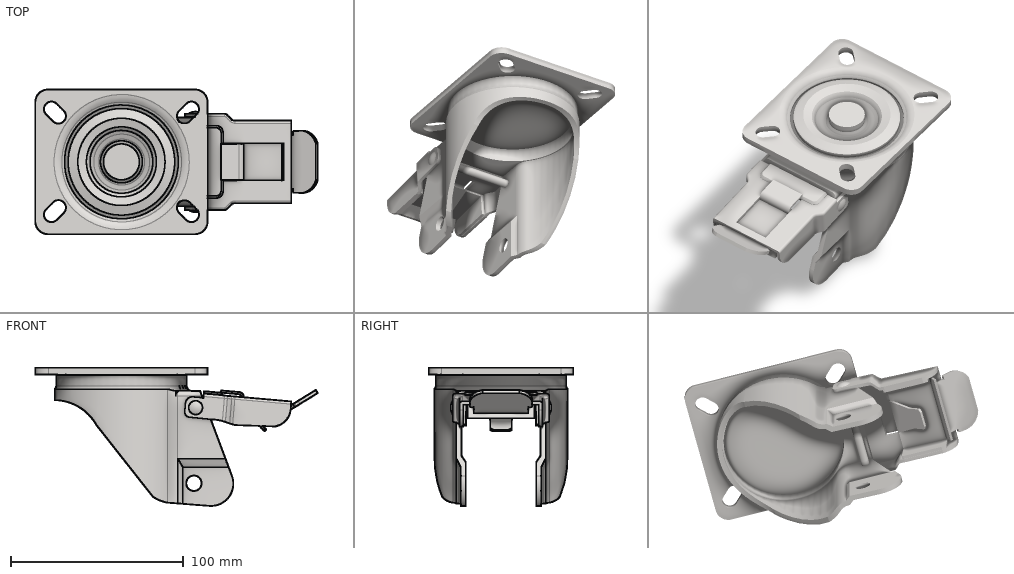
import cadquery as cq
import math


PLATE_LENGTH = 100
PLATE_WIDTH = 84
PLATE_THICKNESS = 4
PLATE_CORNER_RADIUS = 7.5
SLOT_SPACING_X = 77.1
SLOT_SPACING_Y = 57.1
SLOT_WIDTH = 8.6
SLOT_LENGTH = 14.3
SLOT_ANGLE = 45
DISH_OUTER_RADIUS = 39.2
DISH_INNER_RADIUS = 34.7
DISH_DEPTH = 2.2
DISH_ARC_SAG = 0.5
PLATE_BORE_RADIUS = 33
BORE_TOP_DEPTH = 3
SEAT_RADIUS = 37
SEAT_HEIGHT = 0.4

SHEET = 3
SHELL_RADIUS = 38.7
WALL_Y = 25.8
BEND_START_X = 26.65
ROOF_Z = -13.4
ROOF_EDGE_RADIUS = 3
COLLAR_RADIUS = 37.9
COLLAR_TOP_Z = -PLATE_THICKNESS - SEAT_HEIGHT
COLLAR_BASE_Z = -10.6
COLLAR_FLARE_RADIUS = COLLAR_RADIUS + COLLAR_BASE_Z - ROOF_Z
KINGPIN_RADIUS = 10.4
RACE_OUTER_RADIUS = 30.9
RACE_OUTER_Z = -2
RACE_CREST_RADIUS = 25.3
RACE_INNER_RADIUS = 20.3
RACE_INNER_Z = -1.5
BOWL_STEP_RADIUS = 18.2
BOWL_STEP_Z = -4
BOWL_SLOPE_RADIUS = 16.2
BOWL_SLOPE_Z = -4.7
BOWL_FLOOR_RADIUS = 13.3
BOWL_FLOOR_Z = -5.3
KINGPIN_FOOT_RADIUS = 12.2
KINGPIN_FOOT_Z = -4.2
WHEEL_OFFSET = 42
WHEEL_AXLE_Z = -67
WHEEL_AXLE_DIAMETER = 8.8
LOBE_RADIUS = 13
LOBE_X = 51.9
TOTAL_HEIGHT = 80.22
LOBE_Z = LOBE_RADIUS - TOTAL_HEIGHT
FORK_REACH = 75
ROOF_END_X = 45.6
JOGGLE = 2.5
JOGGLE_RUN_X = 2.9
JOGGLE_OUTER_X = 32.7
JOGGLE_OUTER_Z = -52.8
JOGGLE_OUTER_RUN_Z = 4.9
JOGGLE_INNER_X = 31.2
JOGGLE_INNER_Z = -51
JOGGLE_INNER_RUN_Z = 3.9

PIVOT_X = 43
PIVOT_Z = -23.2
LEVER_TILT = 5
PIN_RADIUS = 2.3
RIVET_HEAD_RADIUS = 4
RIVET_HEAD_HEIGHT = 1.2
COVER_SHEET = 2
COVER_EDGE_RADIUS = 1.5
COVER_BEND_RADIUS = 2.5
COVER_TOP = 8.5
COVER_END = 55
COVER_ROOF_START = 4
FRONT_HALF_WIDTH = 28
REAR_HALF_WIDTH = 24
NARROWING_START = 17
NARROWING_END = 21
WINDOW_START = 14.8
WINDOW_END = 50.5
WINDOW_WIDTH = 21.4
PAD_END = 15.2
PAD_HALF_WIDTH = 21
PAD_HEIGHT = 1.5
PAD_CORNER_RADIUS = 4
PAD_EDGE = 1.3
LEAF_SHEET = 1.4
LEAF_WIDTH = 20.8
INNER_PLATE_START = 23
INNER_PLATE_END = 49.5
INNER_PLATE_WIDTH = 2 * (REAR_HALF_WIDTH - COVER_SHEET)
FLANGE_SHEET = 1.8
FLANGE_RECESS = 0.5
PANEL_WIDTH = 38.6
PEDAL_SHEET = 2.2
PEDAL_ANGLE = 31.7
TONGUE_ANGLE = 45
TONGUE_SHEET = 1.5
HALF_SPACE = 100


def revolve_about_z(profile):
    """Solid of revolution about Z from a closed XZ profile."""
    return profile.close().revolve(360, (0, 0, 0), (0, 1, 0))


def tangent_point(x, z, center_x, center_z, radius, side):
    """Where the line from (x, z) touches a circle; side picks one of the two tangents."""
    distance = math.hypot(x - center_x, z - center_z)
    direction = math.atan2(z - center_z, x - center_x) + side * math.acos(radius / distance)
    return center_x + radius * math.cos(direction), center_z + radius * math.sin(direction)


def make_top_plate():
    plate = (
        cq.Workplane("XY")
        .box(PLATE_LENGTH, PLATE_WIDTH, PLATE_THICKNESS, centered=(True, True, False))
        .translate((0, 0, -PLATE_THICKNESS))
        .edges("|Z")
        .fillet(PLATE_CORNER_RADIUS)
    )
    seat = cq.Workplane("XY").workplane(offset=COLLAR_TOP_Z).circle(SEAT_RADIUS).extrude(SEAT_HEIGHT)
    dish_middle = (DISH_OUTER_RADIUS + DISH_INNER_RADIUS) / 2
    dish = revolve_about_z(
        cq.Workplane("XZ")
        .moveTo(0, 0)
        .lineTo(DISH_OUTER_RADIUS, 0)
        .threePointArc((dish_middle, DISH_ARC_SAG - DISH_DEPTH / 2), (DISH_INNER_RADIUS, -DISH_DEPTH))
        .lineTo(PLATE_BORE_RADIUS, -BORE_TOP_DEPTH)
        .lineTo(PLATE_BORE_RADIUS, COLLAR_TOP_Z)
        .lineTo(0, COLLAR_TOP_Z)
    )
    plate = plate.union(seat).cut(dish)
    for side_x in (-1, 1):
        for side_y in (-1, 1):
            slot = (
                cq.Workplane("XY")
                .slot2D(SLOT_LENGTH, SLOT_WIDTH, side_x * side_y * SLOT_ANGLE)
                .extrude(-PLATE_THICKNESS)
                .translate((side_x * SLOT_SPACING_X / 2, side_y * SLOT_SPACING_Y / 2, 0))
            )
            plate = plate.cut(slot)
    return plate


def fork_plan(inset):
    """Closed plan of the fork: round front, concave bends and flat sides, moved inward by inset."""
    bend_angle = math.asin(BEND_START_X / SHELL_RADIUS)
    bend_drop = SHELL_RADIUS * math.cos(bend_angle) - WALL_Y
    bend_radius = bend_drop / (1 - math.cos(bend_angle))
    bend_center_x = (SHELL_RADIUS + bend_radius) * math.sin(bend_angle)
    bend_center_y = WALL_Y + bend_radius
    shell = SHELL_RADIUS - inset
    bend = bend_radius + inset
    start = (shell * math.sin(bend_angle), shell * math.cos(bend_angle))
    middle = (
        bend_center_x - bend * math.sin(bend_angle / 2),
        bend_center_y - bend * math.cos(bend_angle / 2),
    )
    end = (bend_center_x, WALL_Y - inset)
    return (
        cq.Workplane("XY")
        .moveTo(FORK_REACH, end[1])
        .lineTo(*end)
        .threePointArc(middle, start)
        .threePointArc((-shell, 0), (start[0], -start[1]))
        .threePointArc((middle[0], -middle[1]), (end[0], -end[1]))
        .lineTo(FORK_REACH, -end[1])
        .close()
    )


def fork_side_outline():
    """Side silhouette of the fork, as a prism across Y."""
    front_arc_middle = (-24.5, -22.9)
    front_arc_end = (-14.5, -33.3)
    heel_start = (18.1, -74.7)
    heel_middle = (22, -76.9)
    heel_end = (BEND_START_X, -78.3)
    front_z = -18.9
    front_x = -SHELL_RADIUS - SHEET
    lobe = (LOBE_X, LOBE_Z, LOBE_RADIUS)
    return (
        cq.Workplane("XZ")
        .moveTo(front_x, 0)
        .lineTo(front_x, front_z)
        .lineTo(-SHELL_RADIUS, front_z)
        .threePointArc(front_arc_middle, front_arc_end)
        .lineTo(*heel_start)
        .threePointArc(heel_middle, heel_end)
        .lineTo(*tangent_point(*heel_end, *lobe, 1))
        .threePointArc(
            (LOBE_X + LOBE_RADIUS / math.sqrt(2), LOBE_Z - LOBE_RADIUS / math.sqrt(2)),
            tangent_point(ROOF_END_X, ROOF_Z, *lobe, -1),
        )
        .lineTo(ROOF_END_X, ROOF_Z)
        .lineTo(ROOF_END_X, 0)
        .close()
        .extrude(HALF_SPACE, both=True)
    )


def joggle_block(y, wide_x, wide_z, run_z):
    """Block with sloped front and top, narrowing from y inward over the joggle depth."""

    def section(at_y, x, z):
        points = [(x, z), (FORK_REACH, z), (FORK_REACH, -HALF_SPACE), (x, -HALF_SPACE)]
        return cq.Wire.makePolygon([cq.Vector(px, at_y, pz) for px, pz in points], close=True)

    wide = section(y, wide_x, wide_z)
    narrow = section(y - JOGGLE, wide_x + JOGGLE_RUN_X, wide_z - run_z)
    return cq.Workplane(cq.Solid.makeLoft([wide, narrow], True))


def make_fork_head():
    """Swivel head (collar, race ring and riveted kingpin) and the hollow beneath it."""
    flare_middle = (COLLAR_BASE_Z - ROOF_Z) / math.sqrt(2)
    collar = revolve_about_z(
        cq.Workplane("XZ")
        .moveTo(0, ROOF_Z - SHEET)
        .lineTo(COLLAR_FLARE_RADIUS, ROOF_Z - SHEET)
        .lineTo(COLLAR_FLARE_RADIUS, ROOF_Z)
        .threePointArc(
            (COLLAR_FLARE_RADIUS - flare_middle, COLLAR_BASE_Z - flare_middle),
            (COLLAR_RADIUS, COLLAR_BASE_Z),
        )
        .lineTo(COLLAR_RADIUS, COLLAR_TOP_Z)
        .lineTo(0, COLLAR_TOP_Z)
    )
    collar = collar.intersect(fork_plan(0).extrude(-HALF_SPACE))
    race_ring = revolve_about_z(
        cq.Workplane("XZ")
        .moveTo(0, COLLAR_TOP_Z)
        .lineTo(RACE_OUTER_RADIUS, COLLAR_TOP_Z)
        .lineTo(RACE_OUTER_RADIUS, RACE_OUTER_Z)
        .lineTo(RACE_CREST_RADIUS, 0)
        .lineTo(RACE_INNER_RADIUS, RACE_INNER_Z)
        .lineTo(0, RACE_INNER_Z)
    )
    bowl = revolve_about_z(
        cq.Workplane("XZ")
        .moveTo(KINGPIN_RADIUS, 0)
        .lineTo(RACE_INNER_RADIUS, 0)
        .lineTo(RACE_INNER_RADIUS, RACE_INNER_Z)
        .lineTo(BOWL_STEP_RADIUS, BOWL_STEP_Z)
        .lineTo(BOWL_SLOPE_RADIUS, BOWL_SLOPE_Z)
        .lineTo(BOWL_FLOOR_RADIUS, BOWL_FLOOR_Z)
        .lineTo(KINGPIN_FOOT_RADIUS, BOWL_FLOOR_Z)
        .lineTo(KINGPIN_RADIUS, KINGPIN_FOOT_Z)
    )
    underside_z = BOWL_FLOOR_Z - SHEET
    kingpin = cq.Workplane("XY").circle(KINGPIN_RADIUS).extrude(underside_z)
    hollow = (
        cq.Workplane("XY")
        .workplane(offset=ROOF_Z - SHEET)
        .circle(COLLAR_RADIUS - SHEET)
        .extrude(underside_z - (ROOF_Z - SHEET))
    )
    return collar.union(race_ring).union(kingpin).cut(bowl).cut(hollow), hollow


def make_fork():
    shell = fork_plan(0).extrude(-HALF_SPACE).translate((0, 0, ROOF_Z))
    shell = shell.faces(">Z").edges("|X").fillet(ROOF_EDGE_RADIUS)
    interior = fork_plan(SHEET).extrude(-HALF_SPACE).translate((0, 0, ROOF_Z - SHEET))
    shell = shell.cut(interior)
    for mirrored in (False, True):
        inner_step = joggle_block(WALL_Y - SHEET, JOGGLE_INNER_X, JOGGLE_INNER_Z, JOGGLE_INNER_RUN_Z)
        outer_step = joggle_block(WALL_Y, JOGGLE_OUTER_X, JOGGLE_OUTER_Z, JOGGLE_OUTER_RUN_Z)
        if mirrored:
            inner_step = inner_step.mirror("XZ")
            outer_step = outer_step.mirror("XZ")
        shell = shell.union(inner_step).cut(outer_step)
    shell = shell.intersect(fork_side_outline())
    head, hollow = make_fork_head()
    fork = shell.cut(hollow).union(head)
    for x, z, radius in (
        (WHEEL_OFFSET, WHEEL_AXLE_Z, WHEEL_AXLE_DIAMETER / 2),
        (PIVOT_X, PIVOT_Z, PIN_RADIUS),
    ):
        hole = cq.Workplane("XZ").center(x, z).circle(radius).extrude(HALF_SPACE, both=True)
        fork = fork.cut(hole)
    return fork


def across(profile, width):
    """Extrude a closed XZ profile symmetrically across Y to the full width."""
    return profile.close().extrude(width / 2, both=True)


def cover_plan(inset):
    """Plan of the cover, overlong at both ends, moved inward by inset."""
    front = FRONT_HALF_WIDTH - inset
    rear = REAR_HALF_WIDTH - inset
    half = [
        (-COVER_END, front),
        (NARROWING_START, front),
        (NARROWING_END, rear),
        (2 * COVER_END, rear),
    ]
    mirrored = [(u, -y) for u, y in reversed(half)]
    return cq.Workplane("XY").polyline(half + mirrored).close()


def lever_side_outline():
    """Side silhouette of the cover with its rounded pivot ears, as a prism across Y."""
    ear_front = -6.1
    ear_top = 6.1
    ear_bottom = -5.8
    top_radius = 4
    bottom_radius = 3
    slack = 1 - 1 / math.sqrt(2)
    rear_corner_top = (COVER_END, 3.6)
    rear_corner_middle = (52.9, -2.7)
    rear_corner_bottom = (46.9, -6.9)
    deep_start = (24, -8.1)
    shallow_end = (12, -6)
    return across(
        cq.Workplane("XZ")
        .moveTo(ear_front + top_radius, ear_top)
        .lineTo(COVER_ROOF_START, ear_top)
        .lineTo(COVER_ROOF_START, COVER_TOP)
        .lineTo(COVER_END, COVER_TOP)
        .lineTo(*rear_corner_top)
        .threePointArc(rear_corner_middle, rear_corner_bottom)
        .lineTo(*deep_start)
        .spline([shallow_end], tangents=[(-1, 0.1), (-1, 0)], includeCurrent=True)
        .lineTo(ear_front + bottom_radius, ear_bottom)
        .threePointArc(
            (ear_front + bottom_radius * slack, ear_bottom + bottom_radius * slack),
            (ear_front, ear_bottom + bottom_radius),
        )
        .lineTo(ear_front, ear_top - top_radius)
        .threePointArc(
            (ear_front + top_radius * slack, ear_top - top_radius * slack),
            (ear_front + top_radius, ear_top),
        ),
        HALF_SPACE,
    )


def make_cover():
    """Channel-shaped sheet cover, wide around the fork and narrow behind it."""
    outer = cover_plan(0).extrude(-HALF_SPACE).translate((0, 0, COVER_TOP))
    outer = outer.edges("|Z and (not <X) and (not >X)").fillet(COVER_BEND_RADIUS)
    outer = outer.faces(">Z").edges("not |Y").fillet(COVER_EDGE_RADIUS)
    inner = cover_plan(COVER_SHEET).extrude(-HALF_SPACE).translate((0, 0, COVER_TOP - COVER_SHEET))
    inner = inner.edges("|Z and (not <X) and (not >X)").fillet(COVER_BEND_RADIUS)
    window = (
        cq.Workplane("XY")
        .rect(WINDOW_END - WINDOW_START, WINDOW_WIDTH)
        .extrude(COVER_TOP)
        .translate(((WINDOW_START + WINDOW_END) / 2, 0, COVER_SHEET))
    )
    return outer.cut(inner).intersect(lever_side_outline()).cut(window)


def make_inner_flanges():
    """Side flanges of the inner bracket, lying against the insides of the cover."""
    flange_y = REAR_HALF_WIDTH - COVER_SHEET - FLANGE_SHEET / 2
    length = INNER_PLATE_END - INNER_PLATE_START
    blank = cq.Workplane("XY")
    for side in (-1, 1):
        flange = (
            cq.Workplane("XY")
            .box(length, FLANGE_SHEET, HALF_SPACE, centered=(False, True, False))
            .translate((INNER_PLATE_START, side * flange_y, COVER_TOP - COVER_SHEET - HALF_SPACE))
        )
        blank = blank.add(flange)
    return blank.combine().intersect(lever_side_outline().translate((0, 0, FLANGE_RECESS)))


def make_pad():
    """Raised pad on the cover just behind the fork roof."""
    length = PAD_END - COVER_ROOF_START
    return (
        cq.Workplane("XY")
        .box(length, 2 * PAD_HALF_WIDTH, PAD_HEIGHT, centered=(False, True, False))
        .translate((COVER_ROOF_START, 0, COVER_TOP))
        .edges("|Z and >X")
        .fillet(PAD_CORNER_RADIUS)
        .faces(">Z")
        .edges("not <X")
        .chamfer(PAD_EDGE)
    )


def make_leaf():
    """Leaf humped over the cover, the plate it meets below the window and the plate's sloped rear panel."""
    hump_start = 13.8
    hump_top = COVER_TOP + 2.8
    bend_radius = 3.2
    drop_face = 27.4
    bend_start = drop_face - bend_radius
    bend_bottom = hump_top - bend_radius
    plate_top = COVER_TOP - COVER_SHEET
    plate_bottom = plate_top - LEAF_SHEET
    outer_reach = bend_radius / math.sqrt(2)
    inner_reach = (bend_radius - LEAF_SHEET) / math.sqrt(2)
    hump = across(
        cq.Workplane("XZ")
        .moveTo(hump_start, hump_top)
        .lineTo(bend_start, hump_top)
        .threePointArc((bend_start + outer_reach, bend_bottom + outer_reach), (drop_face, bend_bottom))
        .lineTo(drop_face, plate_bottom)
        .lineTo(drop_face - LEAF_SHEET, plate_bottom)
        .lineTo(drop_face - LEAF_SHEET, bend_bottom)
        .threePointArc(
            (bend_start + inner_reach, bend_bottom + inner_reach),
            (bend_start, hump_top - LEAF_SHEET),
        )
        .lineTo(hump_start, hump_top - LEAF_SHEET),
        LEAF_WIDTH,
    )
    plate_length = INNER_PLATE_END - INNER_PLATE_START
    plate = (
        cq.Workplane("XY")
        .box(plate_length, INNER_PLATE_WIDTH, LEAF_SHEET, centered=(False, True, False))
        .translate((INNER_PLATE_START, 0, plate_bottom))
    )
    panel_bottom = -1.5
    panel_run = 4.2
    panel = across(
        cq.Workplane("XZ")
        .moveTo(INNER_PLATE_END, plate_top)
        .lineTo(INNER_PLATE_END + panel_run, panel_bottom)
        .lineTo(INNER_PLATE_END + panel_run - LEAF_SHEET, panel_bottom)
        .lineTo(INNER_PLATE_END - LEAF_SHEET, plate_top),
        PANEL_WIDTH,
    )
    return hump.union(plate).union(panel)


def inclined_sheet(outline, thickness, u, w, angle):
    """Sheet with the given plan, centred on its mid-plane, tilted upward by angle and placed at (u, w)."""
    return (
        outline.close()
        .extrude(thickness / 2, both=True)
        .rotate((0, 0, 0), (0, 1, 0), -angle)
        .translate((u, 0, w))
    )


def make_pedal():
    """Foot pedal: a neck from inside the cover and a wide plate with rounded free corners."""
    root_u = 51.3
    root_w = 2.2
    neck = 6.6
    neck_half = 15.7
    plate_half = 18
    corner = 1
    slack = corner * (1 - 1 / math.sqrt(2))
    straight_end = neck + 3.5
    reach = 22.27
    tip_half = 10.5
    shoulder = (reach - 3.3, plate_half - 2.6)
    outline = (
        cq.Workplane("XY")
        .moveTo(0, neck_half)
        .lineTo(neck, neck_half)
        .lineTo(neck, plate_half - corner)
        .threePointArc((neck + slack, plate_half - slack), (neck + corner, plate_half))
        .lineTo(straight_end, plate_half)
        .threePointArc(shoulder, (reach, tip_half))
        .lineTo(reach, -tip_half)
        .threePointArc((shoulder[0], -shoulder[1]), (straight_end, -plate_half))
        .lineTo(neck + corner, -plate_half)
        .threePointArc((neck + slack, slack - plate_half), (neck, corner - plate_half))
        .lineTo(neck, -neck_half)
        .lineTo(0, -neck_half)
    )
    return inclined_sheet(outline, PEDAL_SHEET, root_u, root_w, PEDAL_ANGLE + LEVER_TILT)


def make_tongue():
    """Brake tongue bent down from the plate toward the tread."""
    root_u = 23.1
    root_w = 5.8
    length = 24
    waist = 15
    root_half = 10
    tip_half = 6.3
    chamfer_length = 1
    chamfer_width = 1.8
    half = [
        (0, root_half),
        (waist, tip_half),
        (length - chamfer_length, tip_half),
        (length, tip_half - chamfer_width),
    ]
    outline = cq.Workplane("XY").polyline(half + [(s, -y) for s, y in reversed(half)])
    return inclined_sheet(outline, TONGUE_SHEET, root_u, root_w, LEVER_TILT - TONGUE_ANGLE)


def make_pin():
    """Pivot pin with a domed rivet head outside each ear of the cover."""
    head_top = FRONT_HALF_WIDTH + RIVET_HEAD_HEIGHT
    dome_radius = (RIVET_HEAD_RADIUS**2 + RIVET_HEAD_HEIGHT**2) / (2 * RIVET_HEAD_HEIGHT)
    half_angle = math.asin(RIVET_HEAD_RADIUS / dome_radius) / 2
    dome_middle = (
        dome_radius * math.sin(half_angle),
        head_top - dome_radius * (1 - math.cos(half_angle)),
    )
    half_pin = (
        cq.Workplane("XY")
        .lineTo(PIN_RADIUS, 0)
        .lineTo(PIN_RADIUS, FRONT_HALF_WIDTH)
        .lineTo(RIVET_HEAD_RADIUS, FRONT_HALF_WIDTH)
        .threePointArc(dome_middle, (0, head_top))
        .close()
        .revolve(360, (0, 0, 0), (0, 1, 0))
    )
    return half_pin.union(half_pin.mirror("XZ"))


def make_brake_lever():
    lever = make_cover()
    features = (make_pad(), make_leaf(), make_inner_flanges(), make_pedal(), make_tongue(), make_pin())
    for feature in features:
        lever = lever.union(feature)
    return lever.rotate((0, 0, 0), (0, 1, 0), LEVER_TILT).translate((PIVOT_X, 0, PIVOT_Z))


top_plate = make_top_plate()
fork = make_fork()
brake_lever = make_brake_lever()

result = cq.Compound.makeCompound([top_plate.val(), fork.val(), brake_lever.val()])